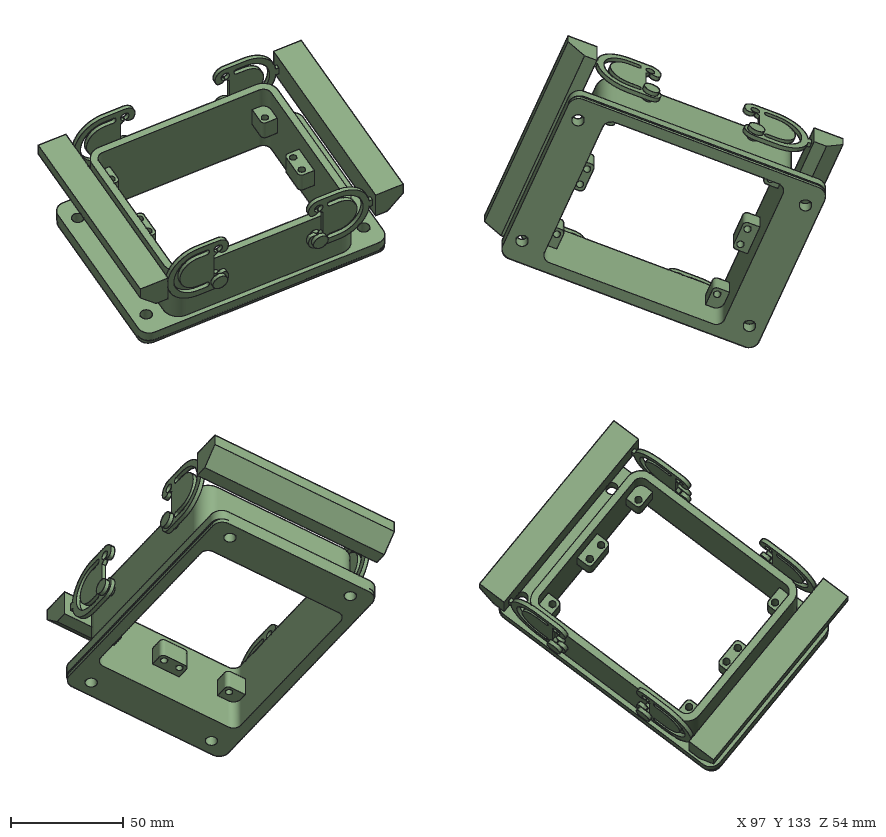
import cadquery as cq
import math

flange_width = 87.2
flange_length = 124.0
flange_height = 7.3
flange_corner_radius = 5.5
foot_width = 86.0
foot_height = 2.0
foot_corner_radius = 5.0
mount_hole_diameter = 5.5
mount_hole_x = 32.5
mount_hole_y = 55.0

housing_width = 82.6
housing_length = 94.0
housing_top = 38.0
housing_wall = 3.5
housing_corner_radius = 7.5

lug_depth = 7.5
lug_top = 26.6
lug_height = 10.0
lug_corner_radius = 2.0
lug_hole_diameter = 3.2
lug_hole_inset = 4.7
middle_lug_width = 14.4
middle_hole_spacing = 8.2
corner_lug_inner_x = 28.0
corner_hole_x = 31.0

lever_thickness = 2.0
lever_inner_x = 43.4
lever_top = 54.0
lever_radius = 15.6
lever_rim = 3.3
lever_slot_width = 3.0
lever_arc_y = 35.5
lever_straight_y = 27.5
lever_slot_end_y = 29.9
slot_end_radius = 1.3
lobe_y = 25.4
lobe_radius = 5.2
lobe_hole_diameter = 4.2
mouth_overlap = 0.1
mouth_depth = 1.8
hook_tip_depth = 3.5
hook_shoulder = 1.7
hook_tip_radius = 1.3
throat_clearance = 1.0

pin_head_diameter = 7.5
pin_head_height = 2.0
pin_shaft_diameter = 4.4

handle_width = 97.0
handle_length = 133.0
handle_size = 14.0
handle_top = 46.5
handle_bevel = 8.0
neck_height = 4.0

cavity_width = housing_width - 2 * housing_wall
cavity_length = housing_length - 2 * housing_wall
lever_z = lever_top - lever_radius
lobe_offset = lever_radius - lobe_radius
lever_outer_x = lever_inner_x + lever_thickness
handle_outer_y = handle_length / 2
handle_inner_y = handle_outer_y - handle_size


def rounded_block(width, length, bottom, top, radius):
    block = cq.Workplane("XY").workplane(offset=bottom).rect(width, length).extrude(top - bottom)
    return block.edges("|Z").fillet(radius)


def mirrored_in_y(shape):
    return shape.union(shape.mirror("XZ"))


def mirrored_in_x(shape):
    return shape.union(shape.mirror("YZ"))


def make_flange():
    foot = rounded_block(foot_width, flange_length, 0, foot_height, foot_corner_radius)
    flange = rounded_block(flange_width, flange_length, foot_height, flange_height, flange_corner_radius)
    holes = (
        cq.Workplane("XY")
        .rect(2 * mount_hole_x, 2 * mount_hole_y, forConstruction=True)
        .vertices()
        .circle(mount_hole_diameter / 2)
        .extrude(flange_height)
    )
    return foot.union(flange).cut(holes)


def make_housing_block():
    return rounded_block(housing_width, housing_length, 0, housing_top, housing_corner_radius)


def make_housing():
    """Flange and outer wall, with the cavity open from top to bottom."""
    cavity_radius = housing_corner_radius - housing_wall
    cavity = rounded_block(cavity_width, cavity_length, 0, housing_top, cavity_radius)
    return make_flange().union(make_housing_block()).cut(cavity)


def make_lug(x_min, x_max, hole_xs, rounded_edges):
    """Lug on the +Y end wall, rooted in the middle of the wall thickness."""
    root_y = (housing_length - housing_wall) / 2
    front_y = cavity_length / 2 - lug_depth
    lug = (
        cq.Workplane("XY")
        .workplane(offset=lug_top - lug_height)
        .moveTo(x_min, front_y)
        .lineTo(x_max, front_y)
        .lineTo(x_max, root_y)
        .lineTo(x_min, root_y)
        .close()
        .extrude(lug_height)
    )
    lug = lug.edges(rounded_edges).fillet(lug_corner_radius)
    holes = (
        cq.Workplane("XY")
        .workplane(offset=lug_top - lug_height)
        .pushPoints([(x, cavity_length / 2 - lug_hole_inset) for x in hole_xs])
        .circle(lug_hole_diameter / 2)
        .extrude(lug_height)
    )
    return lug.cut(holes)


def make_lugs():
    """Middle and corner lugs on both end walls, trimmed to the rounded housing corners."""
    middle_half = middle_lug_width / 2
    middle_holes = [-middle_hole_spacing / 2, middle_hole_spacing / 2]
    middle = make_lug(-middle_half, middle_half, middle_holes, "|Z and <Y")
    corner_root_x = (housing_width - housing_wall) / 2
    corner = make_lug(corner_lug_inner_x, corner_root_x, [corner_hole_x], "(|Z and <Y) and <X")
    lugs = mirrored_in_y(middle.union(mirrored_in_x(corner)))
    return lugs.intersect(make_housing_block())


def lever_sketch():
    """Empty sketch plane on the lever's inner face: local axes are Y and Z."""
    return cq.Workplane("YZ", origin=(lever_inner_x, 0, lever_z))


def lever_d_shape(radius, end_y):
    """Half disc about the lever axis, continued straight towards the middle until end_y."""
    return (
        lever_sketch()
        .moveTo(end_y, -radius)
        .lineTo(lever_arc_y, -radius)
        .threePointArc((lever_arc_y + radius, 0), (lever_arc_y, radius))
        .lineTo(end_y, radius)
        .close()
        .extrude(lever_thickness)
    )


def lobe_discs(diameter, thickness):
    centers = [(lobe_y, lobe_offset), (lobe_y, -lobe_offset)]
    return lever_sketch().pushPoints(centers).circle(diameter / 2).extrude(thickness)


def make_throat():
    """Opening between the two hooks, narrowing to a slit at each lobe hole."""
    apex_z = lobe_offset - lobe_hole_diameter / 2 + mouth_overlap
    corner_z = apex_z - mouth_depth
    tip_z = lobe_offset - hook_tip_depth
    shoulder_y = lobe_y - hook_shoulder
    open_y = lobe_y - lobe_radius - throat_clearance
    upper = [(open_y, tip_z), (shoulder_y, tip_z), (lobe_y, apex_z), (lever_straight_y, corner_z)]
    lower = [(y, -z) for y, z in reversed(upper)]
    return lever_sketch().polyline(upper + lower).close().extrude(lever_thickness)


def make_lever():
    """Lever at the +X, +Y corner: D-shaped plate with a hooked lobe at each end."""
    slot_outer = lever_radius - lever_rim
    slot_inner = slot_outer - lever_slot_width
    slot = lever_d_shape(slot_outer, lever_slot_end_y).cut(lever_d_shape(slot_inner, lever_slot_end_y))
    slot = slot.edges("|X and <Y").fillet(slot_end_radius)

    plate = lever_d_shape(lever_radius, lobe_y).union(lobe_discs(2 * lobe_radius, lever_thickness))
    plate = plate.cut(make_throat())
    hook_tips = cq.selectors.BoxSelector(
        (lever_inner_x, lobe_y - lobe_radius, lever_z - lobe_offset),
        (lever_outer_x, lobe_y - hook_shoulder / 2, lever_z + lobe_offset),
    )
    plate = plate.edges("|X").edges(hook_tips).fillet(hook_tip_radius)
    return plate.cut(slot).cut(lobe_discs(lobe_hole_diameter, lever_thickness))


def make_pivot_pin():
    """Headed pin from the housing wall through the lower lobe of the lever."""
    pin_z = lever_z - lobe_offset
    root_x = (housing_width - housing_wall) / 2
    shaft = (
        cq.Workplane("YZ", origin=(root_x, lobe_y, pin_z))
        .circle(pin_shaft_diameter / 2)
        .extrude(lever_outer_x - root_x)
    )
    head = (
        cq.Workplane("YZ", origin=(lever_outer_x, lobe_y, pin_z))
        .circle(pin_head_diameter / 2)
        .extrude(pin_head_height)
    )
    return shaft.union(head)


def make_neck():
    """Short tab between the lever rim and the handle bar."""
    start_y = lever_arc_y + lever_radius - lever_rim / 2
    return (
        cq.Workplane("XZ", origin=(lever_inner_x + lever_thickness / 2, handle_inner_y, lever_z))
        .rect(lever_thickness, neck_height)
        .extrude(handle_inner_y - start_y)
    )


def make_handle():
    """Bar across the +Y end, bevelled along its lower outer edge."""
    bottom = handle_top - handle_size
    return (
        cq.Workplane("YZ")
        .moveTo(handle_inner_y, bottom)
        .lineTo(handle_outer_y - handle_bevel, bottom)
        .lineTo(handle_outer_y, bottom + handle_bevel)
        .lineTo(handle_outer_y, handle_top)
        .lineTo(handle_inner_y, handle_top)
        .close()
        .extrude(handle_width / 2, both=True)
    )


def make_handles():
    corner = make_lever().union(make_pivot_pin()).union(make_neck())
    return mirrored_in_y(mirrored_in_x(corner).union(make_handle()))


result = make_housing().union(make_lugs()).union(make_handles())